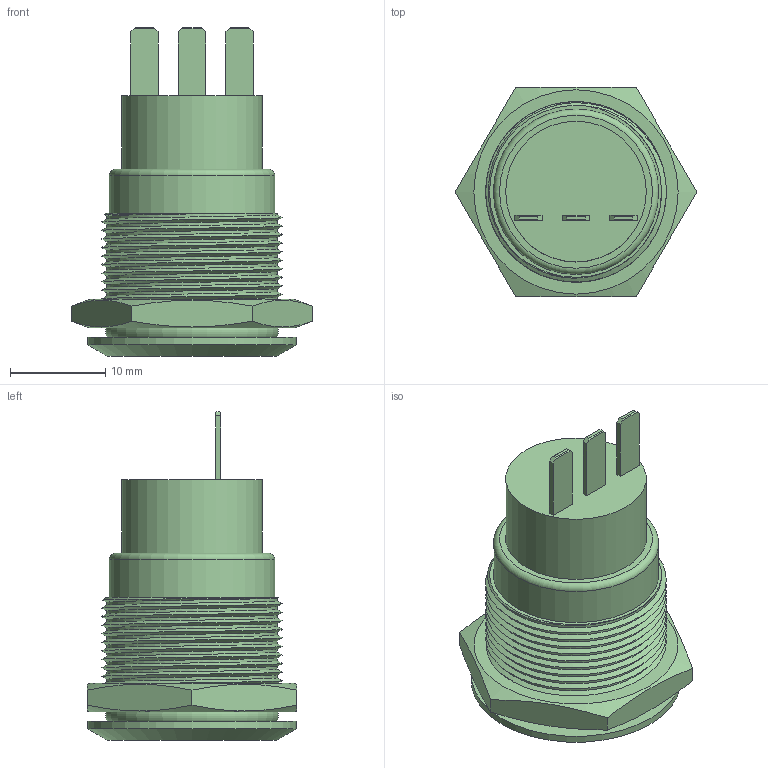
import cadquery as cq
import math

flange_radius = 11.0
flange_top = 2.0
bezel_height = 1.25
bezel_face_radius = 8.9

seal_radius = 9.1
seal_section_radius = 1.2
seal_centre_height = 2.65

nut_across_flats = 22.0
nut_bottom = 3.0
nut_thickness = 3.0
nut_top = nut_bottom + nut_thickness
nut_bevel_face_radius = 10.75
nut_bevel_angle = 20.0

thread_outer_radius = 9.5
thread_core_radius = 9.0
thread_pitch = 0.9
thread_angle = 60.0
thread_root_overlap = 0.1
thread_clearance = 0.1
thread_turns = 11
thread_start = 5.61
thread_top = 15.05
thread_end_chamfer = 0.4

shoulder_radius = 8.7
shoulder_top = 19.7
shoulder_fillet = 0.65
base_radius = 7.4
base_top = 27.45

terminal_width = 2.85
terminal_thickness = 0.55
terminal_spacing = 5.0
terminal_count = 3
terminal_y = -2.75
terminal_top = 34.6
terminal_end_chamfer = 0.45
terminal_face_chamfer = 0.12


def disc(radius, bottom, top):
    return cq.Workplane("XY").workplane(offset=bottom).circle(radius).extrude(top - bottom)


def make_flange():
    profile = [
        (0, 0),
        (bezel_face_radius, 0),
        (flange_radius, bezel_height),
        (flange_radius, flange_top),
        (0, flange_top),
    ]
    return cq.Workplane("XZ").polyline(profile).close().revolve(360, (0, 0, 0), (0, 1, 0))


def seal_radius_at(height):
    rise = height - seal_centre_height
    return seal_radius - seal_section_radius + math.sqrt(seal_section_radius**2 - rise**2)


def make_seal():
    return (
        cq.Workplane("XZ")
        .moveTo(0, flange_top)
        .lineTo(seal_radius_at(flange_top), flange_top)
        .threePointArc((seal_radius, seal_centre_height), (seal_radius_at(nut_bottom), nut_bottom))
        .lineTo(0, nut_bottom)
        .close()
        .revolve(360, (0, 0, 0), (0, 1, 0))
    )


def make_nut():
    corner_radius = nut_across_flats / math.sqrt(3)
    bevel_drop = (corner_radius - nut_bevel_face_radius) * math.tan(math.radians(nut_bevel_angle))
    hexagon = (
        cq.Workplane("XY")
        .workplane(offset=nut_bottom)
        .polygon(6, 2 * corner_radius)
        .extrude(nut_thickness)
    )
    bevel_profile = [
        (0, nut_bottom),
        (nut_bevel_face_radius, nut_bottom),
        (corner_radius, nut_bottom + bevel_drop),
        (corner_radius, nut_top - bevel_drop),
        (nut_bevel_face_radius, nut_top),
        (0, nut_top),
    ]
    bevel = cq.Workplane("XZ").polyline(bevel_profile).close().revolve(360, (0, 0, 0), (0, 1, 0))
    return hexagon.intersect(bevel)


def make_threaded_barrel():
    """Core with a right-handed V ridge that runs from inside the nut to the chamfered top."""
    inner_radius = thread_core_radius - thread_root_overlap
    half_base = (thread_outer_radius - inner_radius) * math.tan(math.radians(thread_angle / 2))
    ridge_height = thread_turns * thread_pitch
    ridge_end = thread_start + ridge_height + thread_pitch
    helix = cq.Wire.makeHelix(
        thread_pitch, ridge_height, inner_radius, center=cq.Vector(0, 0, thread_start)
    )
    section = [
        (inner_radius, thread_start - half_base),
        (thread_outer_radius, thread_start),
        (inner_radius, thread_start + half_base),
    ]
    ridge = cq.Workplane("XZ").polyline(section).close().sweep(cq.Workplane(helix), isFrenet=True)
    core = disc(thread_core_radius, nut_bottom, ridge_end)
    envelope = disc(thread_outer_radius + thread_clearance, nut_bottom, thread_top)
    envelope = envelope.faces(">Z").chamfer(thread_end_chamfer + thread_clearance)
    return core.union(ridge).intersect(envelope)


def make_shoulder():
    return disc(shoulder_radius, thread_top, shoulder_top).faces(">Z").edges().fillet(shoulder_fillet)


def make_terminal(x):
    """Blade whose four top edges are bevelled: long on the ends, short on the broad faces."""
    height = terminal_top - base_top
    half_width = terminal_width / 2
    front = [
        (-half_width, 0),
        (half_width, 0),
        (half_width, height - terminal_end_chamfer),
        (half_width - terminal_end_chamfer, height),
        (terminal_end_chamfer - half_width, height),
        (-half_width, height - terminal_end_chamfer),
    ]
    half_thickness = terminal_thickness / 2
    side = [
        (-half_thickness, 0),
        (half_thickness, 0),
        (half_thickness, height - terminal_face_chamfer),
        (half_thickness - terminal_face_chamfer, height),
        (terminal_face_chamfer - half_thickness, height),
        (-half_thickness, height - terminal_face_chamfer),
    ]
    blade = cq.Workplane("XZ").polyline(front).close().extrude(half_thickness, both=True)
    bevel = cq.Workplane("YZ").polyline(side).close().extrude(half_width, both=True)
    return blade.intersect(bevel).translate((x, terminal_y, base_top))


terminal_base = disc(base_radius, shoulder_top, base_top)

result = make_threaded_barrel()
for feature in (make_nut(), make_seal(), make_flange(), make_shoulder(), terminal_base):
    result = result.union(feature)
for index in range(terminal_count):
    terminal_x = (index - (terminal_count - 1) / 2) * terminal_spacing
    result = result.union(make_terminal(terminal_x))